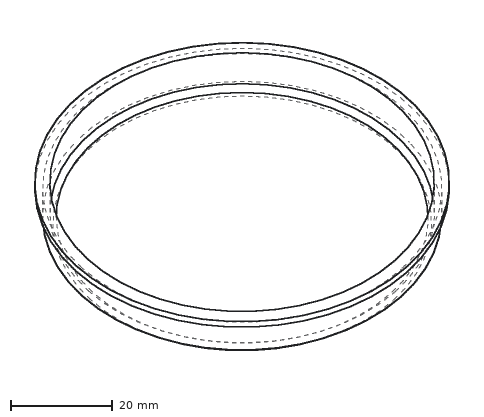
import cadquery as cq

rim_diameter = 82.0
body_diameter = 79.0
cavity_diameter = 76.0
height = 11.0
rim_thickness = 1.5
floor_thickness = 1.5
outer_chamfer = 2.05
inner_chamfer = 1.2

body = (
    cq.Workplane("XY")
    .circle(body_diameter / 2)
    .extrude(height)
    .faces("<Z")
    .edges()
    .chamfer(outer_chamfer)
)

rim = (
    cq.Workplane("XY")
    .workplane(offset=height - rim_thickness)
    .circle(rim_diameter / 2)
    .extrude(rim_thickness)
)

cavity = (
    cq.Workplane("XY")
    .workplane(offset=floor_thickness)
    .circle(cavity_diameter / 2)
    .extrude(height - floor_thickness)
    .faces("<Z")
    .edges()
    .chamfer(inner_chamfer)
)

result = body.union(rim).cut(cavity)